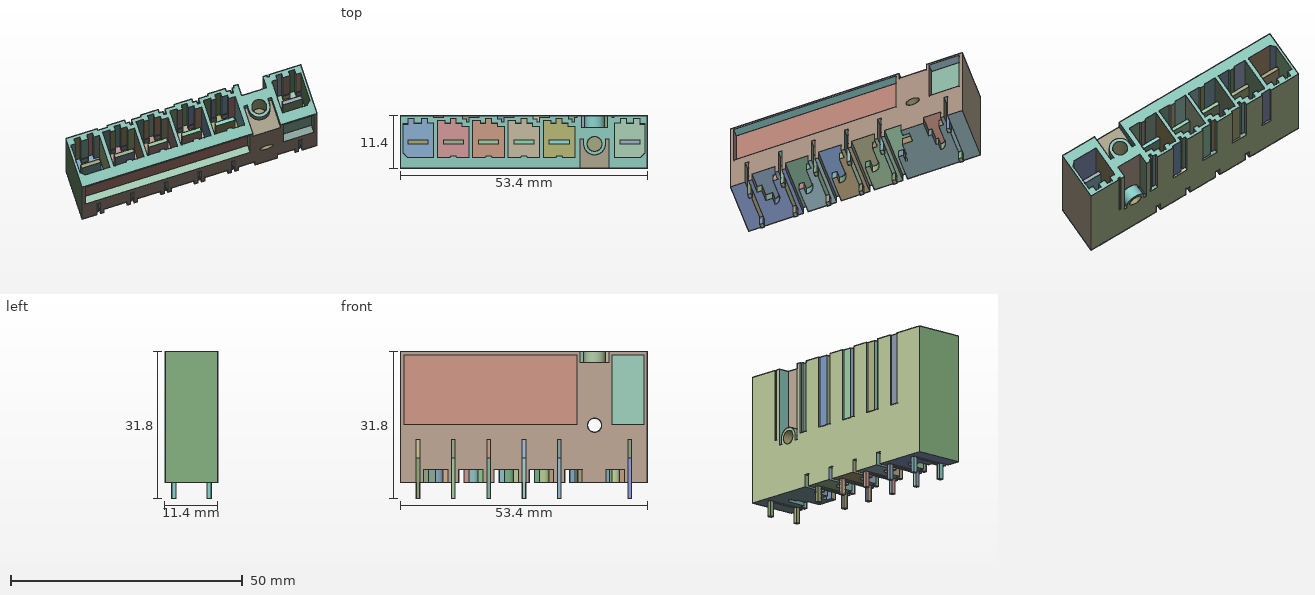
import cadquery as cq
import math

LENGTH = 53.35
DEPTH = 11.4
HEIGHT = 28.3
POSITIONS = 7
PITCH = LENGTH / POSITIONS
MID_DEPTH = DEPTH / 2
FLANGE_POSITION = 5
FLANGE_X = (FLANGE_POSITION + 0.5) * PITCH
INNER_POSITIONS = range(1, FLANGE_POSITION)
LAST_POSITION = POSITIONS - 1
CONTACT_POSITIONS = [p for p in range(POSITIONS) if p != FLANGE_POSITION]

CAVITY_FLOOR = 9.35
CAVITY_FRONT = 2.4
RIB_BACK = 9.8
KEY_SLOT_BACK = 10.8
RIB_FOOT_DEPTH = 0.15
RIB_FOOT_TOP = 12.55

END_OUTER = 0.6
END_INNER = 7.1
END_CHAMFER = 0.9
END_OUTER_RIB_BACK = 9.65
END_KEY_SLOTS = [(1.65, 3.0), (4.6, 5.85)]

INNER_LEFT = 0.4
INNER_RIGHT = 7.2
LEFT_BAY_EDGE = 2.05
LEFT_BAY_BACK = 10.3
INNER_KEY_SLOT = (3.15, 4.45)
RIGHT_BAY_EDGE = 5.7
RIGHT_BAY_BACK = 9.0
NUB_WIDTH = 1.5
NUB_TOP_WIDTH = 0.95
NUB_HEIGHT = 0.3

PANEL_BOTTOM = 12.55
PANEL_TOP = 27.5
PANEL_DEPTH = 1.65
PANEL_END_WALL = 0.75
PANEL_FLANGE_GAP = 3.8

TOP_SCREW_DIA = 3.2
CROSS_HOLE_DIA = 3.0
CROSS_HOLE_Z = 12.4
TOP_SCREW_Y = 5.3
TOP_SCREW_DEPTH = 8.0
TOP_BOSS_RADIUS = 2.35
TOP_POCKET_WIDTH = 6.3
TOP_POCKET_DEPTH = 2.4
REAR_BOSS_RADIUS = 2.2
REAR_POCKET_WIDTH = 5.65
REAR_POCKET_DEPTH = 2.6
POCKET_PAST_AXIS = 1.1

REAR_GROOVE_BOTTOM = 12.55
REAR_RECESS_DEPTH = 0.4
REAR_RECESS_LEFT = -0.5
REAR_RECESS_RIGHT = 1.7
CUT_RECESS_RIGHT = 0.0
LAST_RECESS = (-0.05, 0.45)
KEY_GROOVE_LEFT = -1.85
KEY_GROOVE_STEP = -1.0
KEY_GROOVE_SHALLOW = 0.75
KEY_GROOVE_DEEP = 1.45

CHANNEL_HEIGHT = 2.8
CHANNEL_HALF_WIDTH = 2.6
CHANNEL_FRONT_DEPTH = 1.8
CHANNEL_STOP_DEPTH = 3.2
POCKET_RADIUS = 1.55
POCKET_CENTRE_Y = MID_DEPTH
POCKET_CUT = -0.45
LAST_CHANNEL_LEFT = -1.35
LAST_CHANNEL_STEP = -0.55
FLANGE_SKIRT_LEFT = 1.1
FLANGE_SKIRT_DEPTH = 1.25
FLANGE_CHANNEL_STEP = 0.25

CONTACT_THICKNESS = 0.8
TAIL_DEPTH = 0.95
TAIL_LENGTH = 3.45
TAIL_SPACING = PITCH
PLATE_TOP = 5.35
BLADE_WIDTH = 4.3
BLADE_TOP = 23.0
FRONT_SLOT_TOP = 9.35


def box(x0, x1, y0, y1, z0, z1):
    return cq.Workplane("XY").box(x1 - x0, y1 - y0, z1 - z0, centered=False).translate((x0, y0, z0))


def prism(points, z0, z1):
    return cq.Workplane("XY").workplane(offset=z0).polyline(points).close().extrude(z1 - z0)


def centre_x(position):
    return (position + 0.5) * PITCH


def end_cavity():
    """Left end cavity with two key slots, a chamfered corner and thickened rib feet."""
    slot_1, slot_2 = END_KEY_SLOTS
    outline = [
        (END_OUTER, CAVITY_FRONT + END_CHAMFER),
        (END_OUTER + END_CHAMFER, CAVITY_FRONT),
        (END_INNER, CAVITY_FRONT),
        (END_INNER, RIB_BACK),
        (slot_2[1], RIB_BACK),
        (slot_2[1], KEY_SLOT_BACK),
        (slot_2[0], KEY_SLOT_BACK),
        (slot_2[0], RIB_BACK),
        (slot_1[1], RIB_BACK),
        (slot_1[1], KEY_SLOT_BACK),
        (slot_1[0], KEY_SLOT_BACK),
        (slot_1[0], END_OUTER_RIB_BACK),
        (END_OUTER, END_OUTER_RIB_BACK),
    ]
    cavity = prism(outline, CAVITY_FLOOR, HEIGHT)
    cavity = cavity.cut(rib_foot(END_OUTER, slot_1[0], END_OUTER_RIB_BACK))
    return cavity.cut(rib_foot(slot_1[1], slot_2[0], RIB_BACK))


def inner_cavity():
    """Inner cavity with one key slot, two stepped rear bays and a nub on the front wall."""
    slot_left, slot_right = INNER_KEY_SLOT
    middle = PITCH / 2
    outline = [
        (INNER_LEFT, CAVITY_FRONT),
        (middle - NUB_WIDTH / 2, CAVITY_FRONT),
        (middle - NUB_TOP_WIDTH / 2, CAVITY_FRONT + NUB_HEIGHT),
        (middle + NUB_TOP_WIDTH / 2, CAVITY_FRONT + NUB_HEIGHT),
        (middle + NUB_WIDTH / 2, CAVITY_FRONT),
        (INNER_RIGHT, CAVITY_FRONT),
        (INNER_RIGHT, RIGHT_BAY_BACK),
        (RIGHT_BAY_EDGE, RIGHT_BAY_BACK),
        (RIGHT_BAY_EDGE, RIB_BACK),
        (slot_right, RIB_BACK),
        (slot_right, KEY_SLOT_BACK),
        (slot_left, KEY_SLOT_BACK),
        (slot_left, RIB_BACK),
        (LEFT_BAY_EDGE, RIB_BACK),
        (LEFT_BAY_EDGE, LEFT_BAY_BACK),
        (INNER_LEFT, LEFT_BAY_BACK),
    ]
    cavity = prism(outline, CAVITY_FLOOR, HEIGHT)
    cavity = cavity.cut(rib_foot(LEFT_BAY_EDGE, slot_left, RIB_BACK))
    return cavity.cut(rib_foot(slot_right, RIGHT_BAY_EDGE, RIB_BACK))


def rib_foot(x0, x1, back):
    return box(x0, x1, back - RIB_FOOT_DEPTH, back, CAVITY_FLOOR, RIB_FOOT_TOP)


def front_panel(x0, x1):
    return box(x0, x1, 0, PANEL_DEPTH, PANEL_BOTTOM, PANEL_TOP)


def top_boss_pocket():
    """Pocket in the top front edge of the flange, around a boss joined to its rear wall."""
    half = TOP_POCKET_WIDTH / 2
    floor = HEIGHT - TOP_POCKET_DEPTH
    back = TOP_SCREW_Y + POCKET_PAST_AXIS
    pocket = box(FLANGE_X - half, FLANGE_X + half, 0, back, floor, HEIGHT)
    boss = (
        cq.Workplane("XY")
        .workplane(offset=floor)
        .center(FLANGE_X, TOP_SCREW_Y)
        .circle(TOP_BOSS_RADIUS)
        .extrude(TOP_POCKET_DEPTH)
    )
    neck = box(
        FLANGE_X - TOP_BOSS_RADIUS, FLANGE_X + TOP_BOSS_RADIUS, TOP_SCREW_Y, back, floor, HEIGHT
    )
    return pocket.cut(boss).cut(neck)


def rear_boss_pocket():
    """Pocket in the rear of the flange, open at the top, around a boss joined to its floor."""
    half = REAR_POCKET_WIDTH / 2
    front = DEPTH - REAR_POCKET_DEPTH
    floor = CROSS_HOLE_Z - POCKET_PAST_AXIS
    pocket = box(FLANGE_X - half, FLANGE_X + half, front, DEPTH, floor, HEIGHT)
    boss = cross_cylinder(REAR_BOSS_RADIUS)
    neck = box(
        FLANGE_X - REAR_BOSS_RADIUS, FLANGE_X + REAR_BOSS_RADIUS, front, DEPTH, floor, CROSS_HOLE_Z
    )
    return pocket.cut(boss).cut(neck)


def cross_cylinder(radius):
    """Cylinder through the flange from front to rear."""
    return cq.Workplane("XZ").center(FLANGE_X, CROSS_HOLE_Z).circle(radius).extrude(-DEPTH)


def top_screw_hole():
    return (
        cq.Workplane("XY")
        .workplane(offset=HEIGHT - TOP_SCREW_DEPTH)
        .center(FLANGE_X, TOP_SCREW_Y)
        .circle(TOP_SCREW_DIA / 2)
        .extrude(TOP_SCREW_DEPTH)
    )


def rear_groove(x0, x1, depth):
    return box(x0, x1, DEPTH - depth, DEPTH, REAR_GROOVE_BOTTOM, HEIGHT)


def rear_grooves():
    """Shallow recess at every boundary, with a stepped key groove beside the inner ones."""
    grooves = [
        rear_groove(PITCH + REAR_RECESS_LEFT, PITCH + REAR_RECESS_RIGHT, REAR_RECESS_DEPTH),
        rear_groove(
            LAST_POSITION * PITCH + LAST_RECESS[0],
            LAST_POSITION * PITCH + LAST_RECESS[1],
            REAR_RECESS_DEPTH,
        ),
    ]
    for boundary in range(2, FLANGE_POSITION + 1):
        x = boundary * PITCH
        beside_flange = boundary == FLANGE_POSITION
        recess_right = CUT_RECESS_RIGHT if beside_flange else REAR_RECESS_RIGHT
        grooves += [
            rear_groove(x + KEY_GROOVE_LEFT, x + KEY_GROOVE_STEP, KEY_GROOVE_SHALLOW),
            rear_groove(x + KEY_GROOVE_STEP, x + REAR_RECESS_LEFT, KEY_GROOVE_DEEP),
            rear_groove(x + REAR_RECESS_LEFT, x + recess_right, REAR_RECESS_DEPTH),
        ]
    return grooves


def pocket_point(x):
    """Point on the round rear wall of a channel pocket."""
    return (x, POCKET_CENTRE_Y + math.sqrt(POCKET_RADIUS**2 - x**2))


def channel(boundary, right_path, arc_start, arc_end, left_path):
    """Underside channel: right side front to rear, round pocket, left side rear to front."""
    outline = cq.Workplane("XY").center(boundary * PITCH, 0).moveTo(*right_path[0])
    for point in right_path[1:] + [pocket_point(arc_start)]:
        outline = outline.lineTo(*point)
    outline = outline.threePointArc(pocket_point((arc_start + arc_end) / 2), pocket_point(arc_end))
    for point in [(arc_end, POCKET_CENTRE_Y)] + left_path:
        outline = outline.lineTo(*point)
    return outline.close().extrude(CHANNEL_HEIGHT)


def blind_left_path(left, step):
    """Left side of a channel that is closed at the rear."""
    return [
        (step, POCKET_CENTRE_Y),
        (step, CHANNEL_STOP_DEPTH),
        (left, CHANNEL_STOP_DEPTH),
        (left, 0),
    ]


def channels():
    right_path = [
        (CHANNEL_HALF_WIDTH, 0),
        (CHANNEL_HALF_WIDTH, CHANNEL_FRONT_DEPTH),
        (POCKET_RADIUS, CHANNEL_FRONT_DEPTH),
    ]
    flange_right_path = [
        (FLANGE_SKIRT_LEFT, 0),
        (FLANGE_SKIRT_LEFT, FLANGE_SKIRT_DEPTH),
        (CHANNEL_HALF_WIDTH, FLANGE_SKIRT_DEPTH),
        (CHANNEL_HALF_WIDTH, CHANNEL_STOP_DEPTH),
        (FLANGE_CHANNEL_STEP, CHANNEL_STOP_DEPTH),
        (FLANGE_CHANNEL_STEP, POCKET_CENTRE_Y),
        (0, POCKET_CENTRE_Y),
    ]
    through_left_path = [
        (-POCKET_RADIUS, POCKET_CENTRE_Y),
        (-POCKET_RADIUS, DEPTH),
        (-CHANNEL_HALF_WIDTH, DEPTH),
        (-CHANNEL_HALF_WIDTH, 0),
    ]
    first_left_path = blind_left_path(-CHANNEL_HALF_WIDTH, -POCKET_RADIUS)
    last_left_path = blind_left_path(LAST_CHANNEL_LEFT, LAST_CHANNEL_STEP)
    cuts = [channel(1, right_path, POCKET_RADIUS, 0, first_left_path)]
    for boundary in range(2, FLANGE_POSITION):
        cuts.append(channel(boundary, right_path, POCKET_RADIUS, POCKET_CUT, through_left_path))
    cuts.append(channel(FLANGE_POSITION, flange_right_path, 0, POCKET_CUT, through_left_path))
    cuts.append(channel(LAST_POSITION, right_path, POCKET_RADIUS, 0, last_left_path))
    return cuts


def contact(position):
    """Flat plate with two solder tails below and a crosswise blade above."""
    x = centre_x(position)
    half = CONTACT_THICKNESS / 2
    plate_half = (TAIL_SPACING + TAIL_DEPTH) / 2
    plate = box(x - half, x + half, MID_DEPTH - plate_half, MID_DEPTH + plate_half, 0, PLATE_TOP)
    blade = box(
        x - BLADE_WIDTH / 2, x + BLADE_WIDTH / 2, MID_DEPTH - half, MID_DEPTH + half, PLATE_TOP, BLADE_TOP
    )
    body = plate.union(blade)
    for side in (-1, 1):
        y = MID_DEPTH + side * TAIL_SPACING / 2
        tail = box(x - half, x + half, y - TAIL_DEPTH / 2, y + TAIL_DEPTH / 2, -TAIL_LENGTH, 0)
        body = body.union(tail)
    return body


def contact_front_slot(position):
    """Slot from the front face to the front edge of the contact plate."""
    x = centre_x(position)
    half = CONTACT_THICKNESS / 2
    plate_front = MID_DEPTH - (TAIL_SPACING + TAIL_DEPTH) / 2
    return box(x - half, x + half, 0, plate_front, 0, FRONT_SLOT_TOP)


def make_housing(contacts):
    housing = box(0, LENGTH, 0, DEPTH, 0, HEIGHT)
    left_cavity = end_cavity()
    right_cavity = left_cavity.mirror("YZ", (LENGTH / 2, 0, 0))
    inner = inner_cavity()
    cuts = [left_cavity, right_cavity]
    cuts += [inner.translate((position * PITCH, 0, 0)) for position in INNER_POSITIONS]
    cuts.append(front_panel(PANEL_END_WALL, FLANGE_X - PANEL_FLANGE_GAP))
    cuts.append(front_panel(FLANGE_X + PANEL_FLANGE_GAP, LENGTH - PANEL_END_WALL))
    cuts += [top_boss_pocket(), rear_boss_pocket(), top_screw_hole()]
    cuts.append(cross_cylinder(CROSS_HOLE_DIA / 2))
    cuts += rear_grooves()
    cuts += channels()
    cuts += [contact_front_slot(position) for position in CONTACT_POSITIONS]
    cuts += contacts
    for cut in cuts:
        housing = housing.cut(cut)
    return housing


contacts = [contact(position) for position in CONTACT_POSITIONS]
housing = make_housing(contacts)

result = cq.Compound.makeCompound([housing.solids().val(), *[body.solids().val() for body in contacts]])